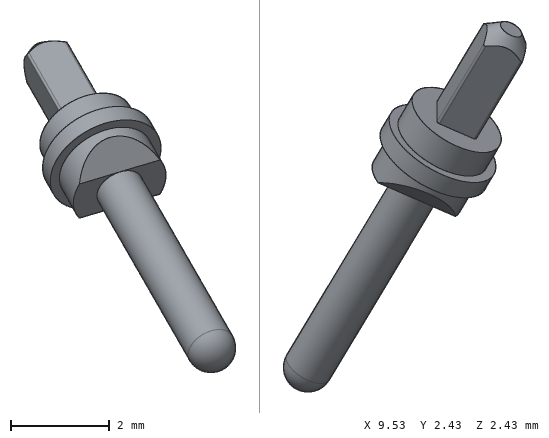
import cadquery as cq

total_length = 9.53
body_start = 2.42
flange_start = 3.05
flange_end = 3.46
body_end = 4.2

flange_diameter = 2.43
body_diameter = 2.03
pin_diameter = 1.0
tail_side = 0.89
tail_corner_radius = 0.05
tail_tip_diameter = 0.49


def cylinder_along_x(start, end, diameter):
    return cq.Workplane("YZ", origin=(start, 0, 0)).circle(diameter / 2).extrude(end - start)


def square_tail():
    """Square tail with rounded edges and a 45 degree conical point."""
    bar = (
        cq.Workplane("YZ")
        .rect(tail_side, tail_side)
        .extrude(body_start)
        .edges("|X")
        .fillet(tail_corner_radius)
    )
    envelope_diameter = 2 * tail_side
    point_length = (envelope_diameter - tail_tip_diameter) / 2
    envelope = cylinder_along_x(0, body_start, envelope_diameter).faces("<X").chamfer(point_length)
    return bar.intersect(envelope)


def wedged_body():
    """Round body with flat 45 degree bevels above and below, meeting the pin."""
    half_height = body_diameter / 2
    pin_radius = pin_diameter / 2
    bevel_start = body_end - (half_height - pin_radius)
    side_outline = (
        cq.Workplane("XZ")
        .moveTo(body_start, -half_height)
        .lineTo(bevel_start, -half_height)
        .lineTo(body_end, -pin_radius)
        .lineTo(body_end, pin_radius)
        .lineTo(bevel_start, half_height)
        .lineTo(body_start, half_height)
        .close()
        .extrude(half_height, both=True)
    )
    return cylinder_along_x(body_start, body_end, body_diameter).intersect(side_outline)


def domed_pin():
    """Round pin ending in a hemisphere."""
    radius = pin_diameter / 2
    dome_start = total_length - radius
    dome_offset = radius * 0.5**0.5
    return (
        cq.Workplane("XY")
        .moveTo(body_end, 0)
        .lineTo(body_end, radius)
        .lineTo(dome_start, radius)
        .threePointArc((dome_start + dome_offset, dome_offset), (total_length, 0))
        .close()
        .revolve(360, (0, 0, 0), (1, 0, 0))
    )


flange = cylinder_along_x(flange_start, flange_end, flange_diameter)
result = square_tail().union(wedged_body()).union(flange).union(domed_pin())